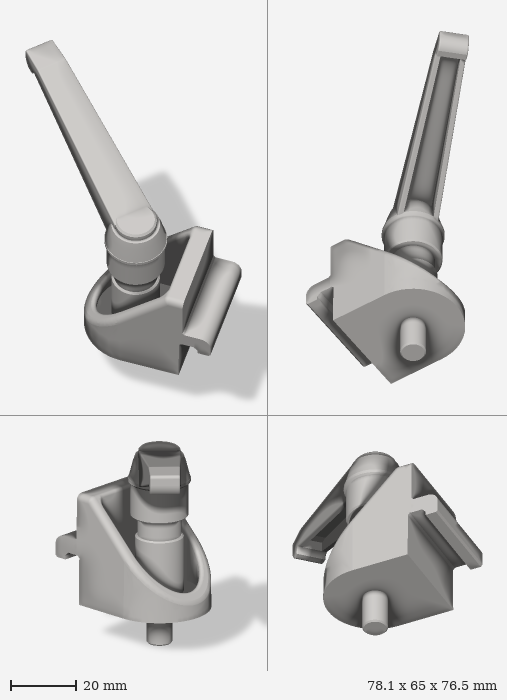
import cadquery as cq
import math

stud_radius = 4.0
end_chamfer = 0.5

housing_radius = 16.0
housing_height = 35.7
draft_angle = 0.5
lower_back_x = 18.9
upper_back_x = 20.1
slope_offset = 21.25
rim_fillet = 2.0
pocket_draft_angle = 0.5
pocket_radius = 12.1
pocket_back_x = 13.8
pocket_floor_z = 5.3
pocket_corner_radius = 1.8
pocket_rim_fillet = 1.0
boss_radius = 7.5
boss_top_z = 23.5

hook_half_width = 15.8
hook_root_x = 16.8
hook_end_x = 29.05
hook_top_z = 20.7
hook_underside_z = 15.8
hook_tip_z = 13.3
hook_lip_x = 24.9
hook_lip_chamfer = 1.25
hook_nose_radius = 3.3
hook_edge_chamfer = 0.6

stud_bottom_z = -11.65
shoulder_radius = 6.7
shoulder_top_z = 29.7

collar_radius = 9.0
collar_top_z = 40.5
ring_radius = 9.7
ring_bottom_z = 41.1
ring_top_z = 42.1
cone_bottom_radius = 9.5
cone_top_radius = 7.5
cone_top_z = 49.4
cone_bulge_radius = 54.7
cap_radius = 6.5
cap_top_z = 51.7
cap_edge_chamfer = 0.6

arm_direction = 135
arm_start = 1.25
arm_start_half_width = 6.65
arm_end = 65.0
arm_end_half_width = 4.6
arm_top_z = 64.85
grip_start = 56.1
cap_crease = 3.0
underside_angle = 19.8
lip_bottom_z = 58.0
lip_inner = 60.2
lip_notch = 58.9
lip_notch_z = 59.9
lip_nose_radius = 4.0
lip_nose_depth = 2.6
lip_inner_radius = 1.3
arm_edge_fillet = 0.5
crease_fillet = 2.35
end_fillet = 1.0
arm_wall = 1.7


def drafted_block():
    """Full-height prism with a half-round front, tapering upward.

    It runs past the back of the housing so that the draft tapers only the front and sides.
    """
    run_out_x = 2 * upper_back_x
    return (
        cq.Workplane("XY")
        .moveTo(run_out_x, -housing_radius)
        .lineTo(0, -housing_radius)
        .threePointArc((-housing_radius, 0), (0, housing_radius))
        .lineTo(run_out_x, housing_radius)
        .close()
        .extrude(housing_height, taper=draft_angle)
    )


def pocket():
    """Hollow of the housing: half-round front, rounded back corners, widening upward."""
    corner_x = pocket_back_x - pocket_corner_radius
    corner_y = pocket_radius - pocket_corner_radius
    return (
        cq.Workplane("XY", origin=(0, 0, pocket_floor_z))
        .moveTo(0, pocket_radius)
        .threePointArc((-pocket_radius, 0), (0, -pocket_radius))
        .lineTo(corner_x, -pocket_radius)
        .radiusArc((pocket_back_x, -corner_y), -pocket_corner_radius)
        .lineTo(pocket_back_x, corner_y)
        .radiusArc((corner_x, pocket_radius), -pocket_corner_radius)
        .close()
        .extrude(housing_height, taper=-pocket_draft_angle)
    )


def housing_side_profile():
    """Side silhouette: 45 degree front face and stepped back."""
    reach = housing_radius
    return (
        cq.Workplane("XZ")
        .polyline([
            (-reach, 0),
            (lower_back_x, 0),
            (lower_back_x, hook_underside_z - hook_edge_chamfer),
            (lower_back_x + hook_edge_chamfer, hook_underside_z),
            (upper_back_x, hook_underside_z),
            (upper_back_x, housing_height),
            (housing_height - slope_offset, housing_height),
            (-reach, slope_offset - reach),
        ])
        .close()
        .extrude(reach, both=True)
    )


def hook():
    """Full-width hooked bar that stands out from the back of the housing."""
    return (
        cq.Workplane("XZ")
        .moveTo(hook_root_x, hook_underside_z)
        .lineTo(hook_lip_x - hook_lip_chamfer, hook_underside_z)
        .lineTo(hook_lip_x, hook_underside_z - hook_lip_chamfer)
        .lineTo(hook_lip_x, hook_tip_z)
        .lineTo(hook_end_x - hook_edge_chamfer, hook_tip_z)
        .lineTo(hook_end_x, hook_tip_z + hook_edge_chamfer)
        .lineTo(hook_end_x, hook_top_z - hook_nose_radius)
        .radiusArc((hook_end_x - hook_nose_radius, hook_top_z), -hook_nose_radius)
        .lineTo(upper_back_x + hook_edge_chamfer, hook_top_z)
        .lineTo(upper_back_x, hook_top_z + hook_edge_chamfer)
        .lineTo(hook_root_x, hook_top_z + hook_edge_chamfer)
        .close()
        .extrude(hook_half_width, both=True)
    )


def slope_face(body):
    """The 45 degree face, which lies farthest toward -X and +Z."""
    return body.faces(cq.selectors.DirectionMinMaxSelector(cq.Vector(-1, 0, 1), True))


def rounded_block():
    """Drafted block with its sloping front and the outer rim rounded."""
    block = drafted_block().intersect(housing_side_profile())
    rim = slope_face(block).edges()
    top_sides = block.faces(">Z").edges("<Y or >Y")
    return block.newObject(rim.vals() + top_sides.vals()).fillet(rim_fillet)


def block_with_pocket():
    """Rounded block, hollowed out and with the mouth of the hollow rounded."""
    body = rounded_block().cut(pocket())
    rim_radius = (housing_radius - rim_fillet + pocket_radius) / 2
    pocket_rim = cq.selectors.BoxSelector(
        (-rim_radius, -rim_radius, pocket_floor_z),
        (pocket_back_x, rim_radius, housing_height),
    )
    return slope_face(body).edges(pocket_rim).fillet(pocket_rim_fillet)


def make_housing():
    """Pocketed block with its hook, and a bored boss that carries the lever."""
    boss = (
        cq.Workplane("XY")
        .circle(boss_radius)
        .extrude(boss_top_z)
        .faces(">Z").chamfer(end_chamfer)
    )
    stud_hole = cq.Workplane("XY").circle(stud_radius).extrude(boss_top_z)
    return block_with_pocket().union(hook()).union(boss).cut(stud_hole)


def make_stud():
    """Round stud through the housing, with a shoulder resting on the boss."""
    thread = (
        cq.Workplane("XY", origin=(0, 0, stud_bottom_z))
        .circle(stud_radius)
        .extrude(boss_top_z - stud_bottom_z)
        .faces("<Z").chamfer(end_chamfer)
    )
    shoulder = (
        cq.Workplane("XY", origin=(0, 0, boss_top_z))
        .circle(shoulder_radius)
        .extrude(shoulder_top_z - boss_top_z)
    )
    return thread.union(shoulder)


def lever_hub():
    """Turned hub: collar, ring, slightly bulged cone and cap on the stud axis."""
    return (
        cq.Workplane("XZ")
        .moveTo(0, shoulder_top_z)
        .lineTo(collar_radius - end_chamfer, shoulder_top_z)
        .lineTo(collar_radius, shoulder_top_z + end_chamfer)
        .lineTo(collar_radius, collar_top_z)
        .lineTo(ring_radius, ring_bottom_z)
        .lineTo(ring_radius, ring_top_z)
        .lineTo(cone_bottom_radius, ring_top_z)
        .radiusArc((cone_top_radius, cone_top_z), -cone_bulge_radius)
        .lineTo(cap_radius, cone_top_z)
        .lineTo(cap_radius, cap_top_z - cap_edge_chamfer)
        .lineTo(cap_radius - cap_edge_chamfer, cap_top_z)
        .lineTo(0, cap_top_z)
        .close()
        .revolve(360, (0, 0), (0, 1))
    )


def arm_plan(inset, start, end):
    """Prism with the tapering plan of the arm, with both sides moved inward by inset."""
    taper = (arm_start_half_width - arm_end_half_width) / (arm_end - arm_start)
    start_half = arm_start_half_width - inset - taper * (start - arm_start)
    end_half = arm_start_half_width - inset - taper * (end - arm_start)
    return (
        cq.Workplane("XY", origin=(0, 0, shoulder_top_z))
        .polyline([(start, -start_half), (end, -end_half), (end, end_half), (start, start_half)])
        .close()
        .extrude(arm_top_z - shoulder_top_z)
    )


def arm_side_profile():
    """Arm seen from the side: sloping top, level grip and a downturned lip."""
    top_slope = (arm_top_z - cap_top_z) / (grip_start - cap_crease)
    underside_slope = math.tan(math.radians(underside_angle))
    nose_rise = math.sqrt(lip_nose_radius**2 - (lip_nose_radius - lip_nose_depth)**2)
    start_top_z = cap_top_z - top_slope * (cap_crease - arm_start)
    start_bottom_z = lip_notch_z - underside_slope * (lip_notch - arm_start)
    return (
        cq.Workplane("XZ")
        .moveTo(arm_start, start_bottom_z)
        .lineTo(lip_notch, lip_notch_z)
        .radiusArc((lip_inner, lip_notch_z - lip_inner_radius), lip_inner_radius)
        .lineTo(lip_inner, lip_bottom_z)
        .lineTo(arm_end - lip_nose_depth, lip_bottom_z)
        .radiusArc((arm_end, lip_bottom_z + nose_rise), -lip_nose_radius)
        .lineTo(arm_end, arm_top_z)
        .lineTo(grip_start, arm_top_z)
        .lineTo(cap_crease, cap_top_z)
        .lineTo(arm_start, start_top_z)
        .close()
        .extrude(arm_start_half_width, both=True)
    )


def arm_top_edge(arm, distance):
    """Edge across the level top of the arm at this distance along it."""
    return arm.edges(cq.selectors.NearestToPointSelector((distance, 0, arm_top_z)))


def lever_arm():
    """Rounded arm, hollow from below and pointing along +X."""
    outer = arm_plan(0, arm_start, arm_end).intersect(arm_side_profile())
    outer = arm_top_edge(outer, grip_start).fillet(crease_fillet)
    outer = arm_top_edge(outer, arm_end).fillet(end_fillet)
    outer = outer.edges("not (|Y or <X)").fillet(arm_edge_fillet)
    lowered_profile = arm_side_profile().translate((0, 0, -arm_wall))
    cavity = arm_plan(arm_wall, arm_start, lip_notch).intersect(lowered_profile)
    return outer.cut(cavity)


def make_lever():
    """Hub and arm in one piece; the hub fills the root of the hollow arm."""
    arm = lever_arm().rotate((0, 0, 0), (0, 0, 1), arm_direction)
    return lever_hub().union(arm)


housing = make_housing()
stud = make_stud()
lever = make_lever()

result = cq.Compound.makeCompound([housing.solids().val(), stud.solids().val(), lever.solids().val()])